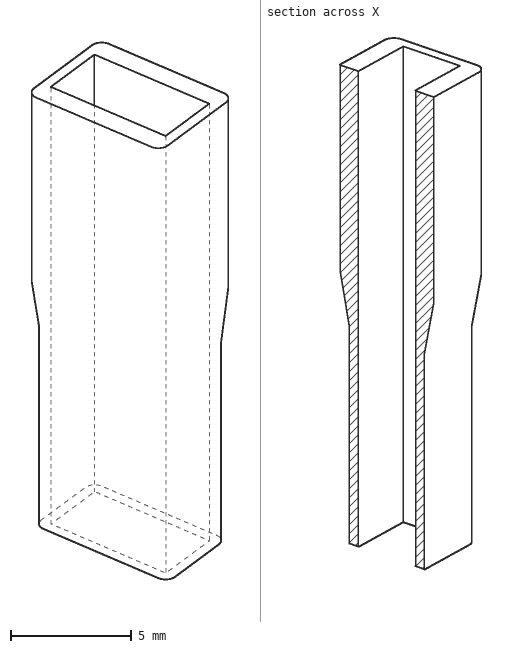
import cadquery as cq

width = 7.0
upper_depth = 5.0
lower_depth = 4.0
corner_radius = 0.5

lower_height = 10.0
taper_height = 2.5
upper_height = 9.5
total_height = lower_height + taper_height + upper_height

wall = 0.5
bore_width = width - 2 * wall
bore_depth = lower_depth - 2 * wall


def rounded_outline(depth):
    """Rounded rectangle of the sleeve's width and the given depth."""
    return cq.Sketch().rect(width, depth).vertices().fillet(corner_radius)


def straight_section(depth, base_z, height):
    """Rounded rectangular prism standing at base_z."""
    return cq.Workplane("XY", origin=(0, 0, base_z)).placeSketch(rounded_outline(depth)).extrude(height)


def tapered_section(base_z, height):
    """Transition that widens in Y from the lower to the upper depth."""
    lower_outline = rounded_outline(lower_depth)
    upper_outline = rounded_outline(upper_depth).moved(cq.Location(cq.Vector(0, 0, height)))
    base = cq.Workplane("XY", origin=(0, 0, base_z))
    return base.placeSketch(lower_outline, upper_outline).loft(ruled=True)


def bore():
    """Sharp-cornered rectangular passage, open at both ends."""
    return cq.Workplane("XY").rect(bore_width, bore_depth).extrude(total_height)


lower = straight_section(lower_depth, 0, lower_height)
taper = tapered_section(lower_height, taper_height)
upper = straight_section(upper_depth, lower_height + taper_height, upper_height)

body = lower.union(taper).union(upper).clean()
result = body.cut(bore())